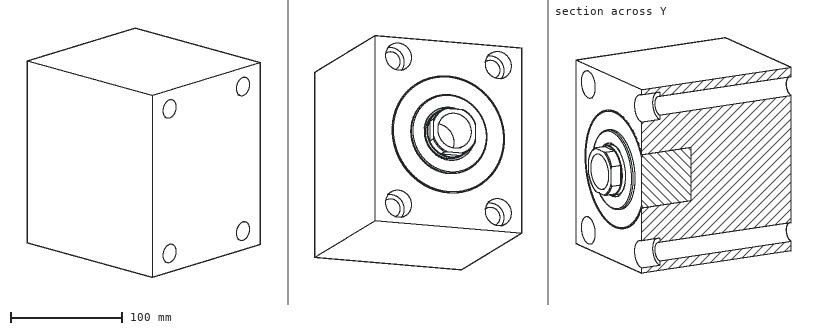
import cadquery as cq
import math

BLOCK_WIDTH = 140.0
BLOCK_HEIGHT = 170.0
OVERALL_LENGTH = 170.0
ROD_REACH = 15.6
BLOCK_LENGTH = OVERALL_LENGTH - ROD_REACH

HOLE_PITCH_Y = 95.2
HOLE_PITCH_Z = 135.0
HOLE_DIAMETER = 17.0
COUNTERBORE_DIAMETER = 24.8
COUNTERBORE_DEPTH = 18.7

GLAND_DIAMETER = 107.1
GLAND_DEPTH = 51.0
GLAND_CHAMFER = 1.0
COLLAR_DIAMETER = 72.0
COLLAR_HEIGHT = 3.0
COLLAR_CHAMFER = 1.0
ROD_RECESS_DIAMETER = 48.5
ROD_RECESS_DEPTH = 2.0

ROD_DIAMETER = 44.9
SHOULDER_REACH = 5.8
SHOULDER_CHAMFER = 0.5
HEAD_DIAMETER = 43.9
HEAD_ACROSS_FLATS = 40.0
HEAD_CHAMFER = 0.8
SOCKET_DIAMETER = 32.0
SOCKET_DEPTH = 44.2
DRILL_POINT_ANGLE = 118.0


def cylinder_x(diameter, start, end):
    """Solid cylinder on the X axis between two X positions."""
    return cq.Workplane("YZ", origin=(start, 0, 0)).circle(diameter / 2).extrude(end - start)


def make_block():
    """Block with a hole in each corner and a round pocket for the gland."""
    block = cq.Workplane("XY").box(BLOCK_LENGTH, BLOCK_WIDTH, BLOCK_HEIGHT, centered=(False, True, True))
    block = (
        block.faces("<X").workplane(centerOption="CenterOfBoundBox")
        .rarray(HOLE_PITCH_Y, HOLE_PITCH_Z, 2, 2)
        .cboreHole(HOLE_DIAMETER, COUNTERBORE_DIAMETER, COUNTERBORE_DEPTH)
    )
    return block.cut(cylinder_x(GLAND_DIAMETER, 0, GLAND_DEPTH))


def make_gland():
    """Disc and collar with a bore for the rod, widened at its mouth."""
    disc = cylinder_x(GLAND_DIAMETER, 0, GLAND_DEPTH).faces("<X").chamfer(GLAND_CHAMFER)
    collar = cylinder_x(COLLAR_DIAMETER, -COLLAR_HEIGHT, 0).faces("<X").chamfer(COLLAR_CHAMFER)
    recess = cylinder_x(ROD_RECESS_DIAMETER, -COLLAR_HEIGHT, ROD_RECESS_DEPTH - COLLAR_HEIGHT)
    rod_bore = cylinder_x(ROD_DIAMETER, -COLLAR_HEIGHT, GLAND_DEPTH)
    return disc.union(collar).cut(recess).cut(rod_bore)


def make_socket():
    """Blind drilled hole in the rod tip, with a conical bottom."""
    radius = SOCKET_DIAMETER / 2
    point_length = radius / math.tan(math.radians(DRILL_POINT_ANGLE / 2))
    wall_end = SOCKET_DEPTH - ROD_REACH
    return (
        cq.Workplane("XY")
        .moveTo(-ROD_REACH, 0)
        .lineTo(-ROD_REACH, radius)
        .lineTo(wall_end, radius)
        .lineTo(wall_end + point_length, 0)
        .close()
        .revolve(360, (0, 0, 0), (1, 0, 0))
    )


def make_rod():
    """Rod with a four-flat wrench head and a blind socket."""
    shank = cylinder_x(ROD_DIAMETER, -SHOULDER_REACH, GLAND_DEPTH).faces("<X").chamfer(SHOULDER_CHAMFER)
    head_length = ROD_REACH - SHOULDER_REACH
    flats = (
        cq.Workplane("YZ", origin=(-ROD_REACH, 0, 0))
        .rect(HEAD_ACROSS_FLATS, HEAD_ACROSS_FLATS)
        .extrude(head_length)
    )
    head = (
        cylinder_x(HEAD_DIAMETER, -ROD_REACH, -SHOULDER_REACH)
        .faces("<X").chamfer(HEAD_CHAMFER)
        .intersect(flats)
    )
    return shank.union(head).cut(make_socket())


block = make_block()
gland = make_gland()
rod = make_rod()
result = cq.Compound.makeCompound([block.val(), gland.val(), rod.val()])